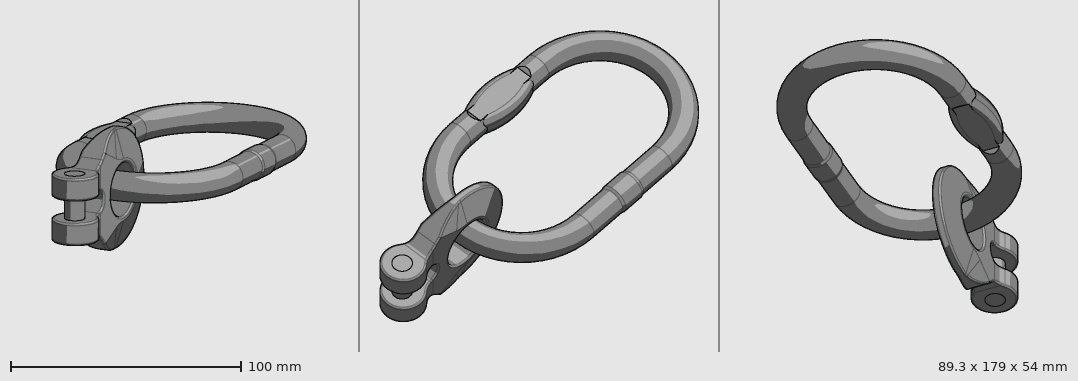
import cadquery as cq
import math

BAR_DIAMETER = 13.0
LINK_OUTER_RADIUS = 43.0
LINK_STRAIGHT = 50.1
LINK_BEND_RADIUS = LINK_OUTER_RADIUS - BAR_DIAMETER / 2
LINK_HALF_LENGTH = LINK_STRAIGHT / 2 + LINK_OUTER_RADIUS

BEAD_DIAMETER = 14.0
BEAD_LENGTH = 13.2
BEAD_SLOPE_LENGTH = 1.5

FLAT_HEIGHT = 5.2
FLAT_HALF_LENGTH = 16.1
FLAT_SLOPE_LENGTH = 2.0

SWELL_HALF_WIDTH = 9.3
SWELL_ARC_RADIUS = 39.0
SWELL_EDGE_RADIUS = 3.4

OVERALL_LENGTH = 179.0
SHACKLE_END_Y = LINK_HALF_LENGTH - OVERALL_LENGTH
RING_OUTER_RADIUS = 27.0
RING_HOLE_RADIUS = 12.0
RING_Y = SHACKLE_END_Y + 44.9
BODY_HALF_THICKNESS = 5.7
TAPER_START_RADIUS = 14.0
TAPER_HOLLOW_RADIUS = 16.1
TAPER_DEPTH = 4.1
TAPER_RUN = 14.0
TAPER_SLANT_ANGLE = 25.0

LUG_RADIUS = 10.2
LUG_Y = SHACKLE_END_Y + LUG_RADIUS
LUG_OUTER_Z = 15.0
LUG_INNER_Z = 5.0
SHOULDER_RADIUS = 9.8
FLARE_RADIUS = 10.4
SLOT_END_Y = SHACKLE_END_Y + 26.5
EDGE_RADIUS = 0.9

PIN_DIAMETER = 9.0
PIN_Y = SHACKLE_END_Y + 9.5


def on_circle(centre, radius, angle):
    """Point at an angle in degrees on a circle."""
    turn = math.radians(angle)
    return (centre[0] + radius * math.cos(turn), centre[1] + radius * math.sin(turn))


def make_bead():
    """Raised band with sloping ends, a turned profile around the leg axis."""
    bar_radius = BAR_DIAMETER / 2
    bead_radius = BEAD_DIAMETER / 2
    half_length = BEAD_LENGTH / 2
    crown_half_length = half_length - BEAD_SLOPE_LENGTH
    return (
        cq.Workplane("XY", origin=(LINK_BEND_RADIUS, 0, 0))
        .polyline([
            (0, -half_length),
            (bar_radius, -half_length),
            (bead_radius, -crown_half_length),
            (bead_radius, crown_half_length),
            (bar_radius, half_length),
            (0, half_length),
        ])
        .close()
        .revolve(360, (0, 0, 0), (0, 1, 0))
    )


def make_flat_cutter():
    """Material removed above the top flat of the -X leg."""
    bar_radius = BAR_DIAMETER / 2
    slope = (bar_radius - FLAT_HEIGHT) / FLAT_SLOPE_LENGTH
    top = 2 * bar_radius
    top_half_length = FLAT_HALF_LENGTH + (top - FLAT_HEIGHT) / slope
    return (
        cq.Workplane("YZ", origin=(-LINK_BEND_RADIUS, 0, 0))
        .polyline([
            (-FLAT_HALF_LENGTH, FLAT_HEIGHT),
            (FLAT_HALF_LENGTH, FLAT_HEIGHT),
            (top_half_length, top),
            (-top_half_length, top),
        ])
        .close()
        .extrude(bar_radius, both=True)
    )


def make_swelling():
    """Lens-shaped block level with both flats, its long edges rounded."""
    drop = SWELL_ARC_RADIUS - math.sqrt(SWELL_ARC_RADIUS**2 - FLAT_HALF_LENGTH**2)
    end_half_width = SWELL_HALF_WIDTH - drop
    return (
        cq.Workplane("XY", origin=(-LINK_BEND_RADIUS, 0, -FLAT_HEIGHT))
        .moveTo(end_half_width, -FLAT_HALF_LENGTH)
        .threePointArc((SWELL_HALF_WIDTH, 0), (end_half_width, FLAT_HALF_LENGTH))
        .lineTo(-end_half_width, FLAT_HALF_LENGTH)
        .threePointArc((-SWELL_HALF_WIDTH, 0), (-end_half_width, -FLAT_HALF_LENGTH))
        .close()
        .extrude(2 * FLAT_HEIGHT)
        .edges("(not |Z) and (not |X)")
        .fillet(SWELL_EDGE_RADIUS)
    )


def make_link():
    """Closed bar ring with its bead, flats and swelling as one solid."""
    half_straight = LINK_STRAIGHT / 2
    centreline = (
        cq.Workplane("XY")
        .moveTo(LINK_BEND_RADIUS, -half_straight)
        .lineTo(LINK_BEND_RADIUS, half_straight)
        .threePointArc((0, half_straight + LINK_BEND_RADIUS), (-LINK_BEND_RADIUS, half_straight))
        .lineTo(-LINK_BEND_RADIUS, -half_straight)
        .threePointArc((0, -half_straight - LINK_BEND_RADIUS), (LINK_BEND_RADIUS, -half_straight))
        .close()
    )
    bar = (
        cq.Workplane("XZ", origin=(LINK_BEND_RADIUS, -half_straight, 0))
        .circle(BAR_DIAMETER / 2)
        .sweep(centreline)
    )
    flat_cutter = make_flat_cutter()
    return (
        bar.union(make_bead())
        .cut(flat_cutter)
        .cut(flat_cutter.mirror("XY"))
        .union(make_swelling())
    )


def make_side_outline():
    """Ring and fork as seen along X, wide enough to hold the lugs."""
    centre_z = LUG_OUTER_Z + SHOULDER_RADIUS
    reach = RING_OUTER_RADIUS + SHOULDER_RADIUS
    centre_y = RING_Y - math.sqrt(reach**2 - centre_z**2)
    rim_share = RING_OUTER_RADIUS / reach
    rim_y = RING_Y + (centre_y - RING_Y) * rim_share
    rim_z = centre_z * rim_share
    rim_angle = math.degrees(math.atan2(rim_z, rim_y - RING_Y))
    middle = on_circle((centre_y, centre_z), SHOULDER_RADIUS, (rim_angle - 180 - 90) / 2)

    blank = (
        cq.Workplane("YZ")
        .moveTo(SHACKLE_END_Y, -LUG_OUTER_Z)
        .lineTo(centre_y, -LUG_OUTER_Z)
        .threePointArc((middle[0], -middle[1]), (rim_y, -rim_z))
        .threePointArc((RING_Y + RING_OUTER_RADIUS, 0), (rim_y, rim_z))
        .threePointArc(middle, (centre_y, LUG_OUTER_Z))
        .lineTo(SHACKLE_END_Y, LUG_OUTER_Z)
        .close()
        .extrude(LUG_RADIUS, both=True)
    )
    slot_round_y = SLOT_END_Y - LUG_INNER_Z
    slot = (
        cq.Workplane("YZ")
        .moveTo(SHACKLE_END_Y, -LUG_INNER_Z)
        .lineTo(slot_round_y, -LUG_INNER_Z)
        .threePointArc((SLOT_END_Y, 0), (slot_round_y, LUG_INNER_Z))
        .lineTo(SHACKLE_END_Y, LUG_INNER_Z)
        .close()
        .extrude(LUG_RADIUS, both=True)
    )
    hole = (
        cq.Workplane("YZ", origin=(0, RING_Y, 0))
        .circle(RING_HOLE_RADIUS)
        .extrude(LUG_RADIUS, both=True)
    )
    return blank.cut(slot).cut(hole)


def make_plan_outline():
    """Parallel-sided body flaring into the round lugs, as seen along Z."""
    flare_x = BODY_HALF_THICKNESS + FLARE_RADIUS
    reach = LUG_RADIUS + FLARE_RADIUS
    flare_y = LUG_Y + math.sqrt(reach**2 - flare_x**2)
    lug_angle = math.degrees(math.atan2(flare_y - LUG_Y, flare_x))
    lug_x, lug_y = on_circle((0, LUG_Y), LUG_RADIUS, lug_angle)
    middle = on_circle((flare_x, flare_y), FLARE_RADIUS, 180 + lug_angle / 2)
    ring_end_y = RING_Y + RING_OUTER_RADIUS
    return (
        cq.Workplane("XY")
        .moveTo(BODY_HALF_THICKNESS, ring_end_y)
        .lineTo(BODY_HALF_THICKNESS, flare_y)
        .threePointArc(middle, (lug_x, lug_y))
        .threePointArc((0, SHACKLE_END_Y), (-lug_x, lug_y))
        .threePointArc((-middle[0], middle[1]), (-BODY_HALF_THICKNESS, flare_y))
        .lineTo(-BODY_HALF_THICKNESS, ring_end_y)
        .close()
        .extrude(RING_OUTER_RADIUS, both=True)
    )


def make_taper_cutter():
    """Material beside the rim that the tapering face on +X removes."""
    hollow_centre = (RING_Y, TAPER_START_RADIUS + TAPER_HOLLOW_RADIUS)
    middle = on_circle(hollow_centre, TAPER_HOLLOW_RADIUS, -90 - TAPER_SLANT_ANGLE / 2)
    slant = on_circle(hollow_centre, TAPER_HOLLOW_RADIUS, -90 - TAPER_SLANT_ANGLE)
    end_z = slant[1] + (slant[0] - SHACKLE_END_Y) * math.tan(math.radians(TAPER_SLANT_ANGLE))
    draft = math.degrees(math.atan2(TAPER_RUN, TAPER_DEPTH))
    kept = (
        cq.Workplane("YZ", origin=(BODY_HALF_THICKNESS, 0, 0))
        .moveTo(RING_Y, -TAPER_START_RADIUS)
        .threePointArc((RING_Y + TAPER_START_RADIUS, 0), (RING_Y, TAPER_START_RADIUS))
        .threePointArc(middle, slant)
        .lineTo(SHACKLE_END_Y, end_z)
        .lineTo(SHACKLE_END_Y, -end_z)
        .lineTo(slant[0], -slant[1])
        .threePointArc((middle[0], -middle[1]), (RING_Y, -TAPER_START_RADIUS))
        .close()
        .extrude(-TAPER_DEPTH, taper=-draft)
    )
    block_size = 3 * RING_OUTER_RADIUS
    block = (
        cq.Workplane("YZ", origin=(BODY_HALF_THICKNESS, RING_Y, 0))
        .rect(block_size, block_size)
        .extrude(-TAPER_DEPTH)
    )
    return block.cut(kept)


def round_outline_edges(body):
    """Round every curved edge except those where the tapering faces start."""
    taper_start = body.faces("%CONE").edges("<X or >X").vals()
    outline_edges = [
        edge for edge in body.edges("not %LINE").vals()
        if not any(edge.isSame(start) for start in taper_start)
    ]
    return body.newObject(outline_edges).fillet(EDGE_RADIUS)


def make_pin():
    """Plain pin, flush with the outer faces of both lugs."""
    return (
        cq.Workplane("XY", origin=(0, PIN_Y, -LUG_OUTER_Z))
        .circle(PIN_DIAMETER / 2)
        .extrude(2 * LUG_OUTER_Z)
    )


def make_shackle():
    """Ring and fork, with a hole through both lugs that the pin fills."""
    cutter = make_taper_cutter()
    body = (
        make_side_outline()
        .intersect(make_plan_outline())
        .cut(cutter)
        .cut(cutter.mirror("YZ"))
    )
    return round_outline_edges(body).cut(make_pin())


link = make_link()
shackle = make_shackle()
pin = make_pin()
result = cq.Compound.makeCompound([link.val(), shackle.val(), pin.val()])